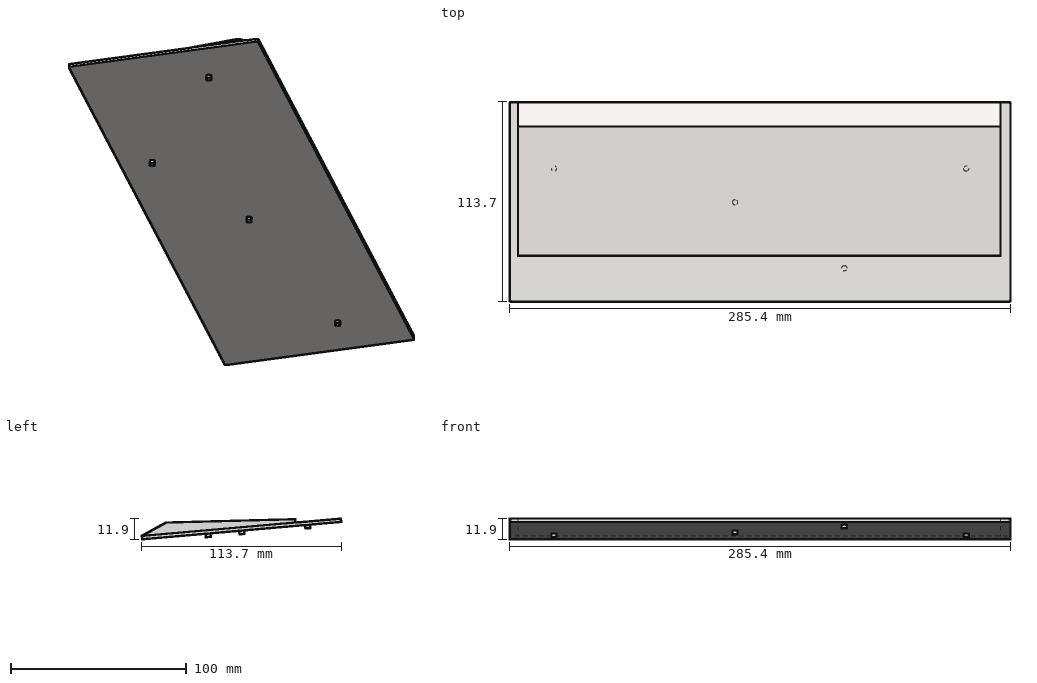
import cadquery as cq

plate_width = 285.37
plate_depth = 113.98
plate_thickness = 2.0
corner_radius = 1.0
tilt_angle = 5.0

wedge_width = 275.0
wedge_center_x = -0.5
ridge_setback = 14.45
ridge_height = 6.45
wedge_depth = 88.0
wedge_front_height = 1.95

pin_diameter = 3.0
pin_length = 2.0
pin_positions = [
    (-117.4, 37.7),
    (117.4, 37.7),
    (-14.2, 57.0),
    (48.0, 94.7),
]


def make_plate():
    """Flat rectangular plate with rounded corners."""
    plate = cq.Workplane("XY").box(
        plate_width, plate_depth, plate_thickness, centered=(True, False, False)
    )
    return plate.translate((0, -plate_depth, 0)).edges("|Z").fillet(corner_radius)


def make_wedge():
    """Wedge with a constant cross-section along X, sitting on the plate."""
    ridge_z = plate_thickness + ridge_height
    front_z = plate_thickness + wedge_front_height
    profile = (
        cq.Workplane("YZ", origin=(wedge_center_x, 0, 0))
        .moveTo(0, plate_thickness)
        .lineTo(-ridge_setback, ridge_z)
        .lineTo(-wedge_depth, front_z)
        .lineTo(-wedge_depth, plate_thickness)
        .close()
    )
    return profile.extrude(wedge_width / 2, both=True)


def make_pins():
    """Round pins standing out of the underside of the plate."""
    centers = [(x, -setback) for x, setback in pin_positions]
    return cq.Workplane("XY").pushPoints(centers).circle(pin_diameter / 2).extrude(-pin_length)


flat_part = make_plate().union(make_wedge()).union(make_pins())
result = flat_part.rotate((0, 0, 0), (1, 0, 0), -tilt_angle)